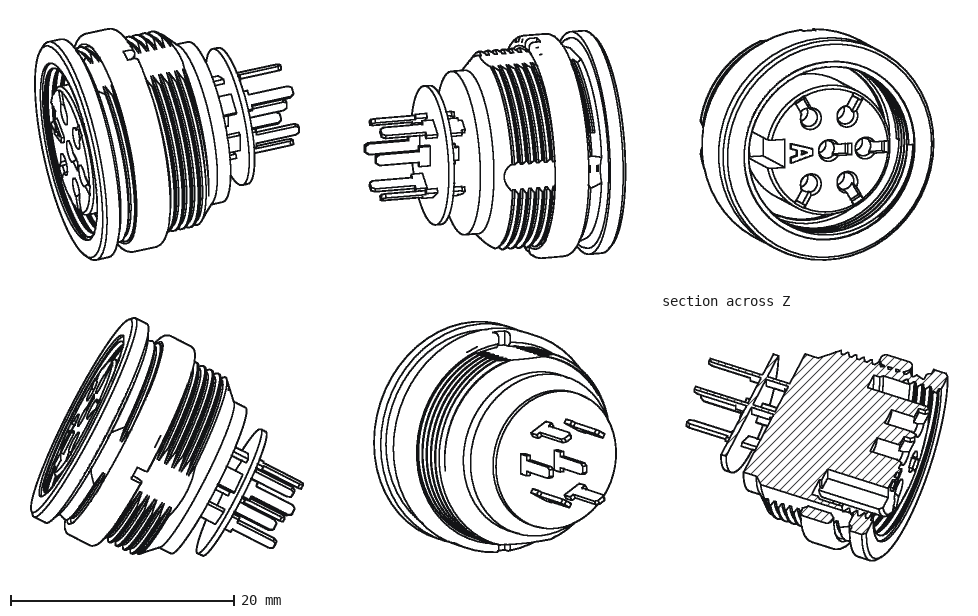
import cadquery as cq
import math


outer_diameter = 20.0
flange_thickness = 1.5
flange_chamfer = 0.3
seal_diameter = 18.92
seal_back = 1.9
seal_rounding = 0.37
nut_front = 3.39
nut_thickness = 3.01
nut_rounding = 0.5
nut_bore_diameter = 17.47
nut_bore_chamfer = 0.41
nut_slot_width = 1.2
nut_slot_depth = 1.05

thread_pitch = 0.75
mouth_margin = 0.06
flank_slope = math.tan(math.radians(30))
barrel_diameter = 17.88
barrel_root_diameter = 17.14
barrel_front_diameter = 17.2
barrel_front_cone_end = 2.9
barrel_thread_start = 2.62
barrel_thread_start_angle = -157
barrel_thread_turns = 11
barrel_root_flat = 0.19
barrel_seam_angle = 40
collar_diameter = 14.7
collar_front = 11.58
collar_back = 12.85
flat_distance = 8.4
side_groove_radius = 1.9
side_groove_bottom = 8.1

recess_diameter = 16.2
recess_depth = 0.2
bore_diameter = 15.2
inner_bore_diameter = 14.7
inner_thread_root_diameter = 16.07
inner_thread_turns = 4
inner_root_flat = 0.12
inner_thread_start = recess_depth + inner_root_flat / 2
bore_cone_front = 5.37
cavity_depth = 6.2

insert_diameter = 11.77
insert_chamfer = 0.29
key_half_width = 1.28
key_bottom = 4.2
key_step_diameter = 11.15
key_step_height = 0.2
socket_diameter = 1.6
socket_mouth_diameter = 1.96
socket_mouth_depth = 0.52
socket_depth = 3.1
socket_slot_width = 1.03
socket_slot_length = 2.17
socket_slot_chamfer = 0.3
socket_slot_depth = 0.9
insert_recess = 0.12
letter_overhang = 0.15

pin_circle_radius = 3.47
pin_angles = (0, 60, 120, 240, 300)
pin_thickness = 0.4
pin_neck_width = 1.2
pin_shoulder_width = 1.82
pin_tip_width = 1.01
pin_shoulder_front = 13.17
pin_shoulder_back = 16.5
overall_length = 20.65
pin_end = overall_length - letter_overhang
pin_end_chamfer = 0.33
pin_end_chamfer_width = 0.2
board_diameter = 12.5
board_front = 14.95
board_thickness = 0.52

overlap = 0.2


def disc(diameter, start, end):
    """Cylinder on the main axis between two heights."""
    return cq.Workplane("XY").workplane(offset=start).circle(diameter / 2).extrude(end - start)


def revolve_profile(points):
    """Solid of revolution about the main axis from (radius, height) points."""
    return cq.Workplane("XZ").polyline(points).close().revolve(360, (0, 0, 0), (0, 1, 0))


def helical_cutter(root_diameter, root_flat, mouth_radius, start, turns):
    """V-shaped cutter along a right-hand helix that begins on the +X side."""
    root_radius = root_diameter / 2
    half_root = root_flat / 2
    half_mouth = half_root + abs(mouth_radius - root_radius) * flank_slope
    first_turn = cq.Wire.makeHelix(thread_pitch, thread_pitch, root_radius)
    path = cq.Wire.assembleEdges([
        first_turn.translate(cq.Vector(0, 0, turn * thread_pitch)).Edges()[0] for turn in range(turns)
    ])
    profile = cq.Workplane("XZ").polyline([
        (root_radius, -half_root),
        (mouth_radius, -half_mouth),
        (mouth_radius, half_mouth),
        (root_radius, half_root),
    ]).close()
    return profile.sweep(path, isFrenet=True).translate((0, 0, start))


def make_barrel():
    """Plain barrel with a conical front end, a rear taper and a collar."""
    radius = barrel_diameter / 2
    collar_radius = collar_diameter / 2
    barrel = revolve_profile([
        (0, flange_thickness - overlap),
        (barrel_front_diameter / 2, flange_thickness - overlap),
        (barrel_front_diameter / 2, seal_back),
        (radius, barrel_front_cone_end),
        (radius, collar_front - (radius - collar_radius)),
        (collar_radius, collar_front),
        (collar_radius, collar_back),
        (0, collar_back),
    ])
    return barrel.rotate((0, 0, 0), (0, 0, 1), barrel_seam_angle)


def cut_barrel_thread(body):
    """Cut the outer thread, then the two flats and the side groove across it."""
    thread = helical_cutter(
        barrel_root_diameter, barrel_root_flat, barrel_diameter / 2 + mouth_margin,
        barrel_thread_start, barrel_thread_turns,
    ).rotate((0, 0, 0), (0, 0, 1), barrel_thread_start_angle)
    slab = cq.Workplane("XY").box(outer_diameter, 2 * flat_distance, 2 * collar_back)
    segments = disc(outer_diameter, seal_back, collar_back).cut(slab)
    side_groove = (
        disc(2 * side_groove_radius, seal_back, collar_back)
        .rotate((0, 0, 0), (0, 0, 1), 180)
        .translate((-side_groove_bottom - side_groove_radius, 0, 0))
    )
    return body.cut(thread, clean=False).cut(segments.add(side_groove), clean=False)


def make_flange():
    """Front flange with the seal ring behind it."""
    flange = disc(outer_diameter, 0, flange_thickness).faces("<Z").chamfer(flange_chamfer)
    seal = disc(seal_diameter, flange_thickness - overlap, seal_back).faces(">Z").edges().fillet(seal_rounding)
    return flange.union(seal)


def make_nut():
    """Ring nut with two opposite wrench slots in its rear face."""
    nut_back = nut_front + nut_thickness
    nut = disc(outer_diameter, nut_front, nut_back).edges().fillet(nut_rounding)
    bore_radius = nut_bore_diameter / 2
    mouth_radius = bore_radius + nut_bore_chamfer
    nut = nut.cut(revolve_profile([
        (0, nut_front),
        (mouth_radius, nut_front),
        (bore_radius, nut_front + nut_bore_chamfer),
        (bore_radius, nut_back - nut_bore_chamfer),
        (mouth_radius, nut_back),
        (0, nut_back),
    ]))
    slots = (
        cq.Workplane("XY")
        .workplane(offset=nut_back - nut_slot_depth)
        .rect(nut_slot_width, outer_diameter)
        .extrude(nut_slot_depth)
    )
    return nut.cut(slots)


def cut_cavity(body):
    """Open the recessed, internally threaded cavity at the front."""
    bore_radius = bore_diameter / 2
    inner_radius = inner_bore_diameter / 2
    cavity = revolve_profile([
        (0, 0),
        (recess_diameter / 2, 0),
        (recess_diameter / 2, recess_depth),
        (bore_radius, recess_depth),
        (bore_radius, bore_cone_front),
        (inner_radius, bore_cone_front + bore_radius - inner_radius),
        (inner_radius, cavity_depth),
        (0, cavity_depth),
    ])
    thread = helical_cutter(
        inner_thread_root_diameter, inner_root_flat, bore_radius - mouth_margin,
        inner_thread_start, inner_thread_turns,
    )
    return body.cut(cavity).cut(thread, clean=False)


def make_socket_cutter():
    """Contact hole with a conical mouth and a radial slot towards +X."""
    hole_radius = socket_diameter / 2
    hole = revolve_profile([
        (0, 0),
        (socket_mouth_diameter / 2, 0),
        (hole_radius, socket_mouth_depth),
        (hole_radius, socket_depth),
        (0, socket_depth),
    ])
    slot_end = socket_slot_length - socket_slot_chamfer
    slot = (
        cq.Workplane("XZ")
        .polyline([
            (0, 0),
            (socket_slot_length, 0),
            (slot_end, socket_slot_chamfer),
            (slot_end, socket_slot_depth),
            (0, socket_slot_depth),
        ])
        .close()
        .extrude(socket_slot_width / 2, both=True)
    )
    return hole.union(slot)


def make_letter():
    """Raised code letter A, standing proud of the insert face."""
    outline = [
        (-3.68, 0.87), (-1.65, 0.29), (-1.65, -0.29), (-3.68, -0.87),
        (-3.68, -0.41), (-3.1, -0.23), (-3.1, 0.23), (-3.68, 0.41),
    ]
    eye = [(-2.7, 0.19), (-2.19, 0), (-2.7, -0.19)]
    plane = cq.Workplane("XY").workplane(offset=-letter_overhang)
    height = letter_overhang + insert_recess + overlap
    return plane.polyline(outline).close().extrude(height).cut(plane.polyline(eye).close().extrude(height))


def place_contacts(contact):
    """One copy on the axis and one at each angle of the contact circle."""
    copies = [contact]
    for angle in pin_angles:
        outer = contact.translate((pin_circle_radius, 0, 0))
        copies.append(outer.rotate((0, 0, 0), (0, 0, 1), angle))
    return copies


def make_pin():
    """Flat stepped pin with a tapered end, its plate facing +X."""
    half_outline = [
        (pin_neck_width / 2, collar_back - overlap),
        (pin_neck_width / 2, pin_shoulder_front),
        (pin_shoulder_width / 2, pin_shoulder_front),
        (pin_shoulder_width / 2, pin_shoulder_back),
        (pin_tip_width / 2, pin_shoulder_back),
        (pin_tip_width / 2, pin_end - pin_end_chamfer),
        (pin_tip_width / 2 - pin_end_chamfer_width, pin_end),
    ]
    mirrored = [(-width, height) for width, height in reversed(half_outline)]
    return (
        cq.Workplane("YZ")
        .polyline(half_outline + mirrored)
        .close()
        .extrude(pin_thickness / 2, both=True)
    )


def make_insert():
    """Contact insert with a keyway, six sockets, the code letter, pins and circuit board."""
    insert = disc(insert_diameter, insert_recess, collar_back - overlap / 2).faces("<Z").chamfer(insert_chamfer)
    keyway = cq.Workplane("XY").box(
        insert_diameter, 2 * key_half_width, cavity_depth, centered=(True, True, False)
    ).translate((-key_bottom - insert_diameter / 2, 0, 0))
    key_step = disc(key_step_diameter, cavity_depth - key_step_height, cavity_depth + overlap)
    insert = insert.cut(keyway).union(key_step).union(make_letter())
    for socket in place_contacts(make_socket_cutter()):
        insert = insert.cut(socket.translate((0, 0, insert_recess)))
    for pin in place_contacts(make_pin()):
        insert = insert.union(pin)
    return insert.union(disc(board_diameter, board_front, board_front + board_thickness))


connector = cut_cavity(make_barrel().union(make_flange()))
connector = cut_barrel_thread(connector)
connector = connector.union(make_insert().add(make_nut()))

result = connector.rotate((0, 0, 0), (1, 0, 0), -90)